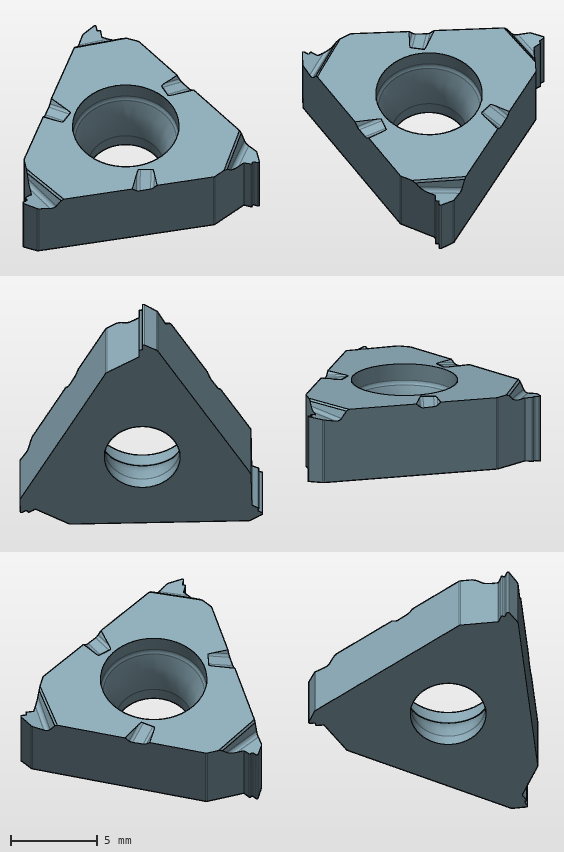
import math

import cadquery as cq

THICKNESS = 4.35
INSCRIBED_RADIUS = 4.7625
CORNER_ANGLES = (0, 120, 240)
SIDE_SLOPE = math.tan(math.radians(30))
SIDE_OFFSET = INSCRIBED_RADIUS / math.cos(math.radians(30))
EDGE_ROUNDING = 0.2
STEP_ROUNDING = 0.06
TIP_ROUNDING = 0.08

TIP = (8.173, 0.195)
FLANK_START_X = 7.683
STEP = (7.74, 0.0)
RELIEF_START_X = 7.26
RELIEF_ANGLE = 60.0

FILLET_START = (6.74, 0.40)
FILLET_END = (7.06, 0.547)
RAKE_ANGLE = 9.0
WALL_ANGLE = 60.0
GROOVE_TILT = 4.3
GROOVE_OUTER_X = 9.5
GROOVE_HALF_LENGTH = 4.0
GROOVE_CLEARANCE = 0.6
LIP_WIDTH = 0.13
LIP_DEPTH = 0.10

NOTCH_FLOOR_WIDTH = 0.62
NOTCH_LENGTH = 1.42
NOTCH_DEPTH = 0.27
NOTCH_SKEW = 12.5
NOTCH_END = (-3.455, -0.515)
NOTCH_END_DEPTH = 0.02
NOTCH_WALL_ANGLE = 41.0
NOTCH_FILLET = 0.31
NOTCH_CLEARANCE = 0.6

HOLE_RADIUS = 2.2
COUNTERBORE_RADIUS = 3.09
COUNTERBORE_DEPTH = 1.0
SEAT_RADIUS = 2.95
SEAT_START_DEPTH = 1.24
SEAT_END_DEPTH = 3.54
BLEND_BULGE = 0.015


def side_line_y(x):
    """Y of the upper of the two triangle sides that converge towards +X."""
    return SIDE_OFFSET - SIDE_SLOPE * x


def rotated(point, angle):
    """Point turned about the hole axis by an angle in degrees."""
    a = math.radians(angle)
    x, y = point
    return (x * math.cos(a) - y * math.sin(a), x * math.sin(a) + y * math.cos(a))


def rounded_corner_points():
    """Outline of the +X corner, counterclockwise, as pairs of a sharp point and its rounding."""
    slope = math.tan(math.radians(RELIEF_ANGLE))
    side_x = (slope * RELIEF_START_X - STEP[1] - SIDE_OFFSET) / (slope - SIDE_SLOPE)
    return [
        ((side_x, -side_line_y(side_x)), EDGE_ROUNDING),
        ((RELIEF_START_X, STEP[1]), STEP_ROUNDING),
        (STEP, STEP_ROUNDING),
        ((STEP[0], TIP[1]), STEP_ROUNDING),
        (TIP, TIP_ROUNDING),
        ((FLANK_START_X, side_line_y(FLANK_START_X)), EDGE_ROUNDING),
    ]


def make_body():
    """Triangular prism with three identical cutting corners and rounded upright edges."""
    outline = [rotated(p, a) for a in CORNER_ANGLES for p, _ in rounded_corner_points()]
    body = cq.Workplane("XY").polyline(outline).close().extrude(THICKNESS)
    for angle in CORNER_ANGLES:
        for point, radius in rounded_corner_points():
            middle = (*rotated(point, angle), THICKNESS / 2)
            body = body.edges(cq.selectors.NearestToPointSelector(middle)).fillet(radius)
    return body


def make_groove_cutter():
    """Groove and rake face of the +X corner, swept along Y and sinking towards +Y."""
    rise = math.tan(math.radians(RAKE_ANGLE)) * (GROOVE_OUTER_X - FILLET_END[0])
    wall_slope = math.tan(math.radians(WALL_ANGLE))
    wall_top_x = FILLET_START[0] - (FILLET_START[1] + GROOVE_CLEARANCE) / wall_slope
    turn = math.radians(WALL_ANGLE + RAKE_ANGLE)
    chord_x = FILLET_END[0] - FILLET_START[0]
    chord_z = FILLET_START[1] - FILLET_END[1]
    bulge = math.tan(turn / 4) / 2
    mid = (
        (FILLET_START[0] + FILLET_END[0]) / 2 + bulge * chord_z,
        -(FILLET_START[1] + FILLET_END[1]) / 2 - bulge * chord_x,
    )
    return (
        cq.Workplane("XZ")
        .moveTo(wall_top_x, GROOVE_CLEARANCE)
        .lineTo(FILLET_START[0], -FILLET_START[1])
        .threePointArc(mid, (FILLET_END[0], -FILLET_END[1]))
        .lineTo(GROOVE_OUTER_X, rise - FILLET_END[1])
        .lineTo(GROOVE_OUTER_X, GROOVE_CLEARANCE)
        .close()
        .extrude(GROOVE_HALF_LENGTH, both=True)
        .rotate((0, 0, 0), (1, 0, 0), -GROOVE_TILT)
        .translate((0, 0, THICKNESS))
    )


def make_lip_cutter():
    """Bevel of constant depth where the groove wall of the +X corner meets the top face."""
    wall_slope = math.tan(math.radians(WALL_ANGLE))
    lip_x = FILLET_START[0] - (FILLET_START[1] - LIP_DEPTH) / wall_slope
    plan_angle = math.degrees(math.atan(math.tan(math.radians(GROOVE_TILT)) / wall_slope))
    return (
        cq.Workplane("XZ")
        .moveTo(0, -LIP_DEPTH)
        .lineTo(0, LIP_DEPTH)
        .lineTo(-2 * LIP_WIDTH, LIP_DEPTH)
        .close()
        .extrude(GROOVE_HALF_LENGTH, both=True)
        .rotate((0, 0, 0), (0, 0, 1), plan_angle)
        .translate((lip_x, 0, THICKNESS))
    )


def make_notch_cutter():
    """Notch of the -X side, with a floor that ramps from the side up to the top face."""
    half = NOTCH_FLOOR_WIDTH / 2
    wall = math.radians(NOTCH_WALL_ANGLE)
    arc_end = (half + NOTCH_FILLET * math.sin(wall), NOTCH_FILLET * (1 - math.cos(wall)))
    arc_mid = (half + NOTCH_FILLET * math.sin(wall / 2), NOTCH_FILLET * (1 - math.cos(wall / 2)))
    top_y = arc_end[0] + (NOTCH_CLEARANCE - arc_end[1]) / math.tan(wall)
    ramp = math.degrees(math.atan2(NOTCH_DEPTH - NOTCH_END_DEPTH, NOTCH_LENGTH))
    return (
        cq.Workplane("YZ")
        .moveTo(-half, 0)
        .lineTo(half, 0)
        .threePointArc(arc_mid, arc_end)
        .lineTo(top_y, NOTCH_CLEARANCE)
        .lineTo(-top_y, NOTCH_CLEARANCE)
        .lineTo(-arc_end[0], arc_end[1])
        .threePointArc((-arc_mid[0], arc_mid[1]), (-half, 0))
        .close()
        .extrude(-NOTCH_LENGTH - NOTCH_CLEARANCE)
        .rotate((0, 0, 0), (0, 1, 0), -ramp)
        .rotate((0, 0, 0), (0, 0, 1), -NOTCH_SKEW)
        .translate((*NOTCH_END, THICKNESS - NOTCH_END_DEPTH))
    )


def make_hole_cutter():
    """Screw hole as a revolved profile along the Z axis."""
    blend_mid = (
        (COUNTERBORE_RADIUS + SEAT_RADIUS) / 2 + BLEND_BULGE,
        -(COUNTERBORE_DEPTH + SEAT_START_DEPTH) / 2 - BLEND_BULGE,
    )
    width = SEAT_RADIUS - HOLE_RADIUS
    height = SEAT_END_DEPTH - SEAT_START_DEPTH
    turn = 2 * math.atan2(width, height)
    arc_radius = height / math.sin(turn)
    seat_mid = (
        HOLE_RADIUS + arc_radius * (1 - math.cos(turn / 2)),
        -SEAT_END_DEPTH + arc_radius * math.sin(turn / 2),
    )
    return (
        cq.Workplane("XZ")
        .lineTo(COUNTERBORE_RADIUS, 0)
        .lineTo(COUNTERBORE_RADIUS, -COUNTERBORE_DEPTH)
        .threePointArc(blend_mid, (SEAT_RADIUS, -SEAT_START_DEPTH))
        .threePointArc(seat_mid, (HOLE_RADIUS, -SEAT_END_DEPTH))
        .lineTo(HOLE_RADIUS, -THICKNESS)
        .lineTo(0, -THICKNESS)
        .close()
        .revolve(360, (0, 0, 0), (0, 1, 0))
        .translate((0, 0, THICKNESS))
    )


insert = make_body().cut(make_hole_cutter())
cutters = (make_groove_cutter(), make_lip_cutter(), make_notch_cutter())
for corner_angle in CORNER_ANGLES:
    for cutter in cutters:
        insert = insert.cut(cutter.rotate((0, 0, 0), (0, 0, 1), corner_angle))

result = insert